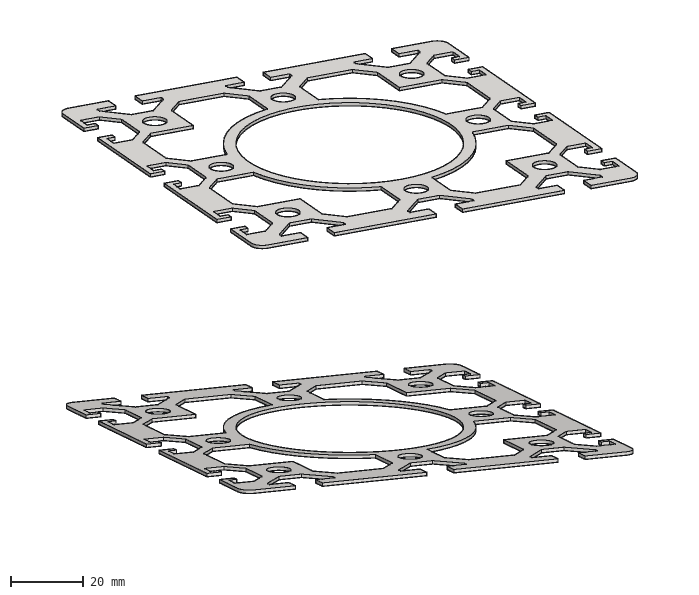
import cadquery as cq

SIDE = 120.0
THICKNESS = 1.0
CORNER_RADIUS = 3.5
HALF_SIDE = SIDE / 2

PITCH = 40.0
STATIONS = [-PITCH, 0.0, PITCH]
SLOT_HALF_OPENING = 4.1
SLOT_HALF_WIDTH = 10.0
SLOT_DEPTH = 12.45
LIP_DEPTH = 4.5

HOOK_WIDTH = 1.9
HOOK_WEB = 2.0
HOOKED_SLOT_TAPER = 4.6

PLAIN_SLOT_TAPER = 6.6

BORE_DIAMETER = 63.0
RING_OUTER_DIAMETER = 70.0
HOLE_DIAMETER = 6.8

BOSS_HALF_WIDTH = 7.9
WALL_THICKNESS = 9.5
WINDOW_CHAMFER = 5.1

QUARTER_TURN = 90
HALF_TURN = 180


def make_plate():
    """Square plate with rounded corners, centred on the origin."""
    plate = cq.Workplane("XY").box(SIDE, SIDE, THICKNESS)
    return plate.edges("|Z").fillet(CORNER_RADIUS)


def extrude_through(sketch):
    """Cutter reaching past both faces of the plate."""
    return sketch.extrude(THICKNESS, both=True)


def turned(body, angle):
    """Body rotated about the Z axis."""
    return body.rotate((0, 0, 0), (0, 0, 1), angle)


def slot_cutter(half_outline):
    """Slot opening on the +Y side at x = 0, from (half width, depth) points on its +X half."""
    right = [(x, HALF_SIDE - depth) for x, depth in half_outline]
    left = [(-x, y) for x, y in reversed(right)]
    return extrude_through(cq.Workplane("XY").polyline(right + left).close())


def hooked_slot():
    """T-slot whose lips end in inward hooks."""
    hook_root = SLOT_HALF_OPENING + HOOK_WIDTH
    return slot_cutter([
        (SLOT_HALF_OPENING, 0),
        (SLOT_HALF_OPENING, LIP_DEPTH),
        (hook_root, LIP_DEPTH),
        (hook_root, HOOK_WEB),
        (SLOT_HALF_WIDTH, HOOK_WEB),
        (SLOT_HALF_WIDTH, SLOT_DEPTH - HOOKED_SLOT_TAPER),
        (SLOT_HALF_WIDTH - HOOKED_SLOT_TAPER, SLOT_DEPTH),
    ])


def plain_slot():
    """T-slot with solid lips and long 45 degree flanks."""
    return slot_cutter([
        (SLOT_HALF_OPENING, 0),
        (SLOT_HALF_OPENING, LIP_DEPTH),
        (SLOT_HALF_WIDTH, LIP_DEPTH),
        (SLOT_HALF_WIDTH, SLOT_DEPTH - PLAIN_SLOT_TAPER),
        (SLOT_HALF_WIDTH - PLAIN_SLOT_TAPER, SLOT_DEPTH),
    ])


def cut_slots(plate):
    """Hooked slots along the Y sides and plain slots along the X sides."""
    for station in STATIONS:
        hooked = hooked_slot().translate((station, 0, 0))
        plain = plain_slot().translate((station, 0, 0))
        for angle in (0, HALF_TURN):
            plate = plate.cut(turned(hooked, angle))
            plate = plate.cut(turned(plain, angle + QUARTER_TURN))
    return plate


def corner_window():
    """Window in the +X +Y quarter, bounded by the walls, the bosses and the ring."""
    inner = BOSS_HALF_WIDTH
    outer = HALF_SIDE - WALL_THICKNESS
    boss = PITCH - BOSS_HALF_WIDTH
    near = inner + WINDOW_CHAMFER
    far = boss - WINDOW_CHAMFER
    shoulder = outer - WINDOW_CHAMFER
    outline = [
        (inner, inner),
        (shoulder, inner),
        (outer, near),
        (outer, far),
        (shoulder, boss),
        (boss, boss),
        (boss, shoulder),
        (far, outer),
        (near, outer),
        (inner, shoulder),
    ]
    window = extrude_through(cq.Workplane("XY").polyline(outline).close())
    ring = extrude_through(cq.Workplane("XY").circle(RING_OUTER_DIAMETER / 2))
    return window.cut(ring)


def cut_windows(plate):
    """One window per quarter of the plate."""
    window = corner_window()
    for quarter in range(4):
        plate = plate.cut(turned(window, quarter * QUARTER_TURN))
    return plate


def cut_round_holes(plate):
    """Central bore and the eight screw holes around it."""
    centres = [(x, y) for x in STATIONS for y in STATIONS if (x, y) != (0, 0)]
    holes = cq.Workplane("XY").pushPoints(centres).circle(HOLE_DIAMETER / 2)
    bore = cq.Workplane("XY").circle(BORE_DIAMETER / 2)
    return plate.cut(extrude_through(holes)).cut(extrude_through(bore))


result = cut_round_holes(cut_windows(cut_slots(make_plate())))